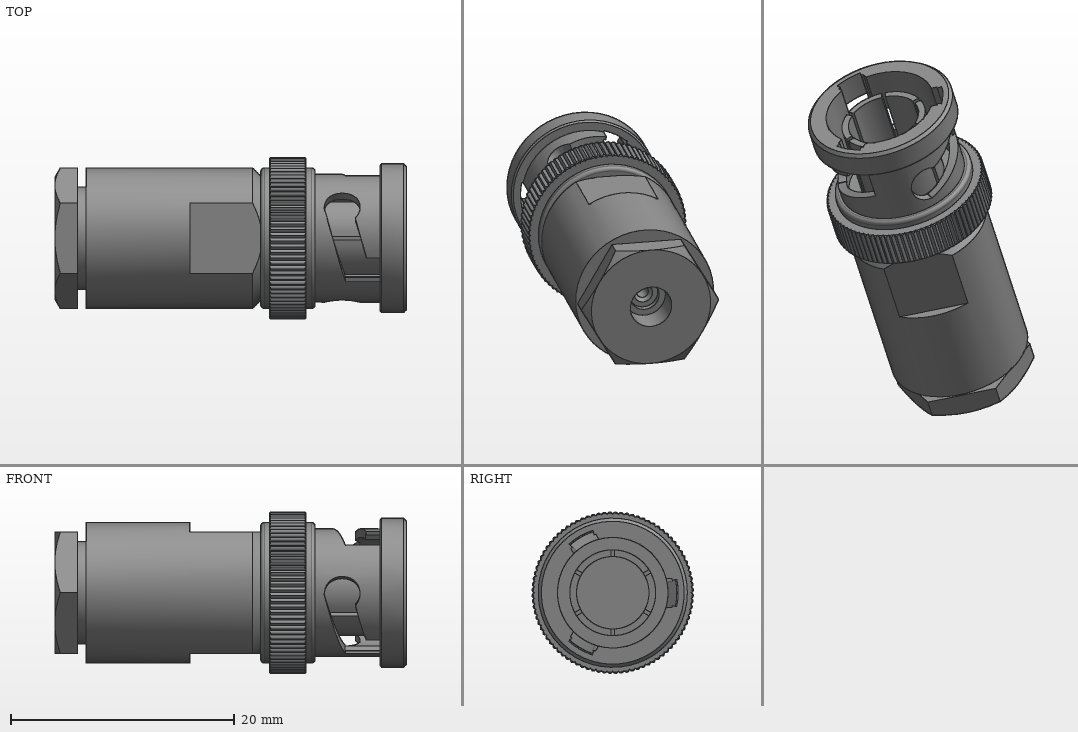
import cadquery as cq
import math

length = 31.5

across_flats = 10.9
hex_length = 2.05
hex_chamfer_angle = 30.0
collar_end = 2.8
collar_radius = 4.6
cable_bore_radius = 1.9

housing_radius = 6.3
housing_end = 18.43
housing_chamfer = 0.72
flat_start = 12.1
recess_radius = 1.32
recess_depth = 0.63
solder_bore_radius = 0.85
solder_bore_depth = 1.9
solder_bore_chamfer = 0.3
drill_tip_angle = 118.0
contact_radius = 3.85
contact_end = 30.08
contact_bore_radius = 3.25
contact_bore_start = 20.15
slit_count = 6
slit_width = 0.35
slit_start = 22.05
first_slit_angle = 30.0

collar_fillet = 0.35
collar_outer_radius = housing_radius
collar_finish = 23.3
knurl_start = 19.2
knurl_end = 22.5
knurl_radius = 7.25
knurl_chamfer = 0.13
tooth_count = 88
groove_depth = 0.22
flank_height = 0.15
sleeve_radius = 5.73
sleeve_bore_radius = 4.95
rim_start = 29.1
rim_radius = 6.68
rim_back_chamfer = 0.15
rim_mouth_chamfer = 0.28

slot_count = 3
head_x = 25.75
head_radius = 1.59
first_head_angle = 60.8
entry_first_angle = 47.0
entry_last_angle = 71.0
ramp_rise = 0.27
ramp_width = 2.52
ramp_overrun = 5.0
entry_start = 27.85
entry_radius = 5.85
channel_start = 26.0
channel_width = 2.58
channel_radius = 5.45
cut_inner_radius = 4.4
cut_outer_radius = 6.15


def cylinder(start, end, radius):
    return cq.Workplane("YZ", origin=(start, 0, 0)).circle(radius).extrude(end - start)


def turned(points):
    """Revolve an (x, radius) outline about the X axis."""
    return cq.Workplane("XY").polyline(points).close().revolve(360, (0, 0, 0), (1, 0, 0))


def around_axis(shape, angle):
    return shape.rotate((0, 0, 0), (1, 0, 0), angle)


def make_clamp_nut():
    corner_radius = across_flats / math.sqrt(3)
    hexagon = cq.Workplane("YZ").polygon(6, 2 * corner_radius).extrude(hex_length)
    face_radius = across_flats / 2
    corner_drop = (corner_radius - face_radius) * math.tan(math.radians(hex_chamfer_angle))
    chamfered = turned([
        (0, 0), (0, face_radius), (corner_drop, corner_radius), (hex_length, corner_radius), (hex_length, 0),
    ])
    nut = hexagon.intersect(chamfered)
    nut = nut.union(cylinder(hex_length, collar_end, collar_radius))
    return nut.cut(cylinder(0, collar_end, cable_bore_radius))


def make_housing():
    barrel = cylinder(collar_end, housing_end, housing_radius).faces(">X").chamfer(housing_chamfer)
    flats = cq.Workplane("XY").box(
        housing_end - flat_start, 2 * housing_radius, across_flats, centered=(False, True, True)
    ).translate((flat_start, 0, 0))
    barrel = barrel.intersect(cylinder(collar_end, flat_start, housing_radius).union(flats))
    contact = cylinder(housing_end, contact_end, contact_radius)
    contact = contact.cut(cylinder(contact_bore_start, contact_end, contact_bore_radius))
    for i in range(slit_count):
        slit = cq.Workplane("XY").box(
            contact_end - slit_start, 2 * contact_radius, slit_width, centered=(False, False, True)
        ).translate((slit_start, 0, 0))
        contact = contact.cut(around_axis(slit, first_slit_angle + i * 360 / slit_count))
    return barrel.union(contact).cut(make_solder_bore())


def make_solder_bore():
    floor = collar_end + recess_depth
    tip_radius = solder_bore_radius - solder_bore_chamfer
    bore_end = floor + solder_bore_depth
    tip = bore_end + tip_radius / math.tan(math.radians(drill_tip_angle / 2))
    return turned([
        (collar_end, 0), (collar_end, recess_radius), (floor, recess_radius), (floor, solder_bore_radius),
        (floor + solder_bore_chamfer, tip_radius), (bore_end, tip_radius), (tip, 0),
    ])


def knurl_point(radius, pitches):
    angle = math.pi / 2 + 2 * math.pi * pitches / tooth_count
    return radius * math.cos(angle), radius * math.sin(angle)


def make_knurl():
    """Band of rounded teeth with sharp grooves between them, one groove on +Z."""
    band = cylinder(knurl_start, knurl_end, knurl_radius).faces("<X or >X").chamfer(knurl_chamfer)
    root_radius = knurl_radius - groove_depth
    flank_radius = root_radius + flank_height
    teeth = cq.Workplane("YZ", origin=(knurl_start, 0, 0)).moveTo(*knurl_point(root_radius, 0))
    for i in range(tooth_count):
        teeth = teeth.threePointArc(knurl_point(flank_radius, i + 0.25), knurl_point(knurl_radius, i + 0.5))
        teeth = teeth.threePointArc(knurl_point(flank_radius, i + 0.75), knurl_point(root_radius, i + 1))
    return teeth.close().extrude(knurl_end - knurl_start).intersect(band)


def turned_sector(start, end, inner, outer, first_angle, last_angle):
    """Ring sector about X between two angles."""
    sector = (
        cq.Workplane("XY")
        .moveTo(start, inner)
        .lineTo(end, inner)
        .lineTo(end, outer)
        .lineTo(start, outer)
        .close()
        .revolve(last_angle - first_angle, (0, 0, 0), (1, 0, 0))
    )
    return around_axis(sector, first_angle)


def make_slot_head():
    """Round hole centred on +Y whose walls run radially from the connector axis."""
    scale_in = cut_inner_radius / sleeve_radius
    scale_out = cut_outer_radius / sleeve_radius
    return (
        cq.Workplane("XZ", origin=(head_x, cut_inner_radius, 0))
        .ellipse(head_radius, head_radius * scale_in)
        .workplane(offset=cut_inner_radius - cut_outer_radius)
        .ellipse(head_radius, head_radius * scale_out)
        .loft(ruled=True)
    )


def make_slot_ramp():
    """Helical strip, tangent to the head on its cable side and stopped flush with the entry."""
    sweep_angle = entry_last_angle + ramp_overrun
    pitch = 2 * math.pi * sleeve_radius * ramp_rise
    helix = cq.Wire.makeHelix(pitch, pitch * sweep_angle / 360, sleeve_radius)
    ramp_start = head_x - head_radius * math.sqrt(1 + ramp_rise ** 2)
    ramp = (
        cq.Workplane("XZ")
        .moveTo(cut_inner_radius, 0)
        .lineTo(cut_outer_radius, 0)
        .lineTo(cut_outer_radius, ramp_width)
        .lineTo(cut_inner_radius, ramp_width)
        .close()
        .sweep(cq.Workplane(obj=helix), isFrenet=True)
        .rotate((0, 0, 0), (1, 1, 1), 120)
        .translate((ramp_start, 0, 0))
    )
    beyond_entry = turned_sector(
        collar_finish, length, 0, knurl_radius, entry_last_angle, entry_last_angle + 2 * ramp_overrun
    )
    return ramp.cut(beyond_entry)


def make_slot_channel():
    """Straight lead-in for a lug, running inside the sleeve to its mouth."""
    channel = cq.Workplane("XY").box(
        length - channel_start, channel_radius, channel_width, centered=(False, False, True)
    ).translate((channel_start, 0, 0))
    channel = channel.intersect(cylinder(channel_start, length, channel_radius))
    return around_axis(channel, (entry_first_angle + entry_last_angle) / 2)


def make_coupling():
    body = cylinder(housing_end, collar_finish, collar_outer_radius).faces("<X or >X").edges().fillet(collar_fillet)
    body = body.union(make_knurl())
    body = body.union(cylinder(collar_finish, length, sleeve_radius))
    rim = cylinder(rim_start, length, rim_radius)
    rim = rim.faces("<X").chamfer(rim_back_chamfer).faces(">X").chamfer(rim_mouth_chamfer)
    body = body.union(rim)
    body = body.cut(cylinder(collar_finish, length, sleeve_bore_radius))
    body = body.cut(cylinder(housing_end, length, contact_radius))
    entry = turned_sector(
        entry_start, length, cut_inner_radius, entry_radius, entry_first_angle, entry_last_angle
    )
    slot_parts = (make_slot_head(), make_slot_ramp(), entry, make_slot_channel())
    for i in range(slot_count):
        for cutter in slot_parts:
            body = body.cut(around_axis(cutter, first_head_angle + i * 360 / slot_count))
    return body


clamp_nut = make_clamp_nut()
housing = make_housing()
coupling = make_coupling()
result = cq.Compound.makeCompound([clamp_nut.val(), housing.val(), coupling.val()])